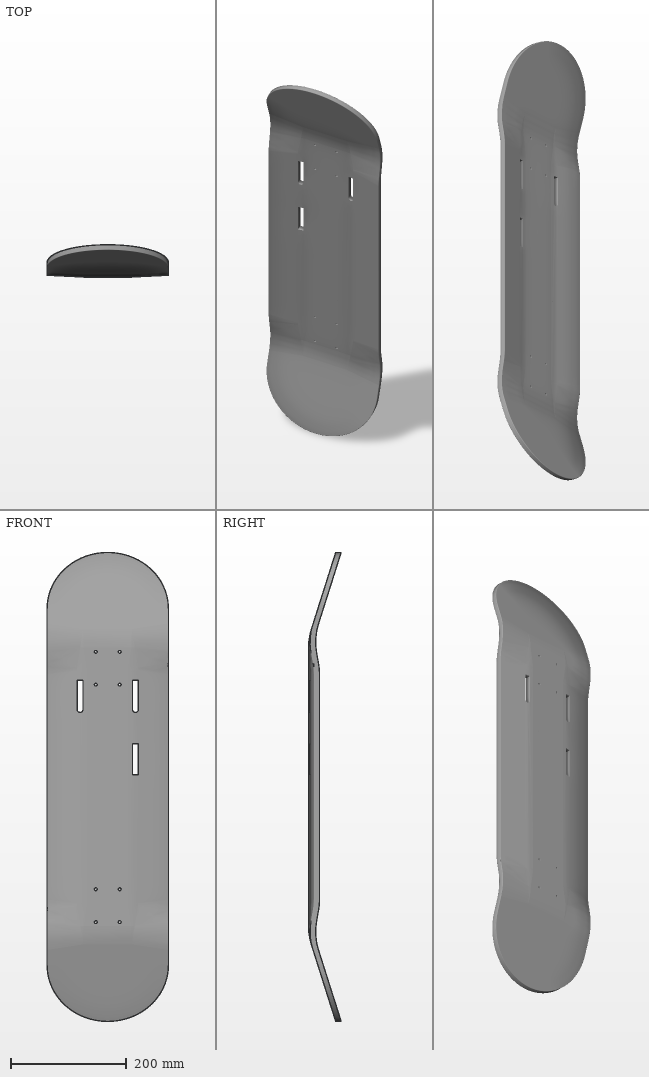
import cadquery as cq
import math

board_length = 809.0
board_width = 210.0
thickness = 10.0

kick_angle = math.radians(17.6)
kick_corner_z = 256.5
bend_radius = 105.0
rim_radius = 1.0
kick_outline_length = 97.0

wing_rise = 10.0
wing_corner_z = 204.0

strip_inner_x = 36.0
strip_outer_x = 53.0
strip_inner_bend_x = 41.0
strip_outer_bend_x = 47.0
strip_point_x = 42.0
strip_bend_rise = 0.4
strip_rise = 2.0
strip_taper_z = 205.5
strip_straight_z = 201.0

bolt_diameter = 4.5
bolt_x = 20.6
bolt_positions_z = (176.5, 233.0)

slot_inner_x = 43.0
slot_upper_top_z = 184.0
slot_upper_bottom_z = 129.0
slot_lower_top_z = 74.5
slot_lower_bottom_z = 21.0

half_length = board_length / 2
half_width = board_width / 2
cut_depth = 81.0


def rounded_corner(corner_y, corner_z, lower_slope, upper_slope):
    """(y, z) of the start, middle and end of an arc blending two slopes, in rising z."""
    turn = abs(upper_slope - lower_slope)
    tangent = bend_radius * math.tan(turn / 2)
    gap = bend_radius / math.cos(turn / 2) - bend_radius
    side = math.copysign(gap, upper_slope - lower_slope)
    mean_slope = (lower_slope + upper_slope) / 2
    start = (corner_y - tangent * math.sin(lower_slope), corner_z - tangent * math.cos(lower_slope))
    middle = (corner_y + side * math.cos(mean_slope), corner_z - side * math.sin(mean_slope))
    end = (corner_y + tangent * math.sin(upper_slope), corner_z + tangent * math.cos(upper_slope))
    return start, middle, end


def point(x, yz):
    return cq.Vector(x, yz[0], yz[1])


def line(start, end):
    return cq.Edge.makeLine(start, end)


def arc(points):
    return cq.Edge.makeThreePointArc(*points)


def flip_z(vector):
    return cq.Vector(vector.x, vector.y, -vector.z)


def ruled_patch(first_edge, second_edge):
    return cq.Face.makeRuledSurface(first_edge, second_edge)


def flat_patch(points):
    return cq.Face.makeFromWires(cq.Wire.makePolygon(points, close=True))


def mirrored_outline(points):
    """Close an outline given by its +X half."""
    return points + [cq.Vector(-p.x, p.y, p.z) for p in reversed(points)]


descent_angle = math.atan(wing_rise / (kick_corner_z - wing_corner_z))
bend_foot, bend_middle, bend_top = rounded_corner(0, kick_corner_z, 0, kick_angle)
edge_bend = rounded_corner(0, kick_corner_z, -descent_angle, kick_angle)
edge_crest = rounded_corner(wing_rise, wing_corner_z, 0, -descent_angle)
tip = ((half_length - kick_corner_z) * math.tan(kick_angle), half_length)

edge_bend_points = [point(half_width, yz) for yz in edge_bend]
edge_crest_points = [point(half_width, yz) for yz in edge_crest]

strip_point = point(strip_point_x, bend_top)
inner_foot = point(strip_inner_bend_x, bend_foot)
outer_foot = cq.Vector(strip_outer_bend_x, strip_bend_rise, bend_foot[1])
inner_middle = point((strip_point_x + strip_inner_bend_x) / 2, bend_middle)
outer_middle = cq.Vector(
    (strip_point_x + strip_outer_bend_x) / 2, bend_middle[0] + strip_bend_rise / 2, bend_middle[1]
)
inner_bend = arc((inner_foot, inner_middle, strip_point))
outer_bend = arc((outer_foot, outer_middle, strip_point))
inner_taper = cq.Vector(strip_inner_x, 0, strip_taper_z)
outer_taper = cq.Vector(strip_outer_x, strip_rise, strip_taper_z)
inner_straight = cq.Vector(strip_inner_x, 0, strip_straight_z)
outer_straight = cq.Vector(strip_outer_x, strip_rise, strip_straight_z)


def strip_section(inner, outer):
    """Arc across the curved strip, leaving the flat centre tangentially."""
    return cq.Edge.makeTangentArc(inner, cq.Vector(1, 0, 0), outer)


def centre_patches():
    """Flat strip between the two curved strips."""
    upper = [inner_straight, inner_taper, inner_foot]
    lower = [flip_z(p) for p in reversed(upper)]
    return [flat_patch(mirrored_outline(lower + upper))]


def middle_side_patches():
    """Constant section of the curved strip and wing on the +X side."""
    section = strip_section(inner_straight, outer_straight)
    opposite = strip_section(flip_z(inner_straight), flip_z(outer_straight))
    crest = edge_crest_points[0]
    wing = [outer_straight, crest, flip_z(crest), flip_z(outer_straight)]
    return [ruled_patch(section, opposite), flat_patch(wing)]


def kick_patches():
    """Flat kick and its bend at the +Z end."""
    kick = [strip_point, edge_bend_points[2], point(half_width, tip)]
    bend = ruled_patch(inner_bend, inner_bend.mirror("YZ"))
    return [flat_patch(mirrored_outline(kick)), bend]


def transition_side_patches():
    """Blend from the raised wing down to the kick on the +X side, +Z end."""
    foot_section = line(inner_foot, outer_foot)
    taper_section = strip_section(inner_taper, outer_taper)
    straight_section = strip_section(inner_straight, outer_straight)
    return [
        ruled_patch(inner_bend, outer_bend),
        ruled_patch(foot_section, taper_section),
        ruled_patch(taper_section, straight_section),
        ruled_patch(outer_bend, arc(edge_bend_points)),
        ruled_patch(line(outer_taper, outer_foot), line(edge_crest_points[2], edge_bend_points[0])),
        ruled_patch(line(outer_straight, outer_taper), arc(edge_crest_points)),
    ]


def mirrored(shapes, plane):
    return shapes + [shape.mirror(plane) for shape in shapes]


def underside_patches():
    end = kick_patches() + mirrored(transition_side_patches(), "YZ")
    return centre_patches() + mirrored(middle_side_patches(), "YZ") + mirrored(end, "XY")


def perimeter_edges():
    """Edges around the underside before the ends are rounded."""
    crest_start, _, crest_end = edge_crest_points
    bend_start, _, bend_end = edge_bend_points
    tip_corner = point(half_width, tip)
    end_side = [
        arc(edge_crest_points),
        line(crest_end, bend_start),
        arc(edge_bend_points),
        line(bend_end, tip_corner),
    ]
    middle_side = [line(flip_z(crest_start), crest_start)]
    tip_edge = line(tip_corner, point(-half_width, tip))
    sides = mirrored(middle_side + mirrored(end_side, "XY"), "YZ")
    return sides + mirrored([tip_edge], "XY")


def square_ended_board():
    """Solid between the underside and the same surface raised by the thickness."""
    raised = cq.Vector(0, thickness, 0)
    underside = underside_patches()
    deck = [patch.translate(raised) for patch in underside]
    walls = [ruled_patch(edge, edge.translate(raised)) for edge in perimeter_edges()]
    shell = cq.Shell.makeShell(underside + deck + walls)
    return cq.Workplane(obj=cq.Solid.makeSolid(shell)).clean()


def outline_prism():
    """Straight-sided board outline with a half-ellipse at each end."""
    shoulder_z = half_length - kick_outline_length
    ends = cq.Workplane("XZ").pushPoints([(0, shoulder_z), (0, -shoulder_z)])
    prism = cq.Workplane("XZ").rect(board_width, 2 * shoulder_z).extrude(cut_depth, both=True)
    return prism.union(ends.ellipse(half_width, kick_outline_length).extrude(cut_depth, both=True))


def round_rim(body):
    """Round both edges of the rim; each rounding runs on all the way around the board."""
    underside_edge = body.edges(cq.NearestToPointSelector((half_width, wing_rise, 0)))
    deck_edge = body.edges(cq.NearestToPointSelector((half_width, wing_rise + thickness, 0)))
    return underside_edge.add(deck_edge).fillet(rim_radius)


def bolt_holes():
    places = [
        (side * bolt_x, end * z)
        for side in (-1, 1)
        for end in (-1, 1)
        for z in bolt_positions_z
    ]
    return cq.Workplane("XZ").pushPoints(places).circle(bolt_diameter / 2).extrude(cut_depth, both=True)


def slot(top_z, bottom_z, rounded_bottom):
    """Slot through the +X curved strip, square at the top."""
    width = strip_outer_x - slot_inner_x
    outline = cq.Workplane("XZ").moveTo(slot_inner_x, top_z).lineTo(strip_outer_x, top_z)
    if rounded_bottom:
        arc_z = bottom_z + width / 2
        outline = outline.lineTo(strip_outer_x, arc_z)
        outline = outline.threePointArc((slot_inner_x + width / 2, bottom_z), (slot_inner_x, arc_z))
    else:
        outline = outline.lineTo(strip_outer_x, bottom_z).lineTo(slot_inner_x, bottom_z)
    return outline.close().extrude(cut_depth, both=True)


board = square_ended_board()
board = board.intersect(outline_prism())
board = round_rim(board)
board = board.cut(bolt_holes())

upper_slot = slot(slot_upper_top_z, slot_upper_bottom_z, True)
lower_slot = slot(slot_lower_top_z, slot_lower_bottom_z, False)
result = board.cut(upper_slot).cut(upper_slot.mirror("YZ")).cut(lower_slot)